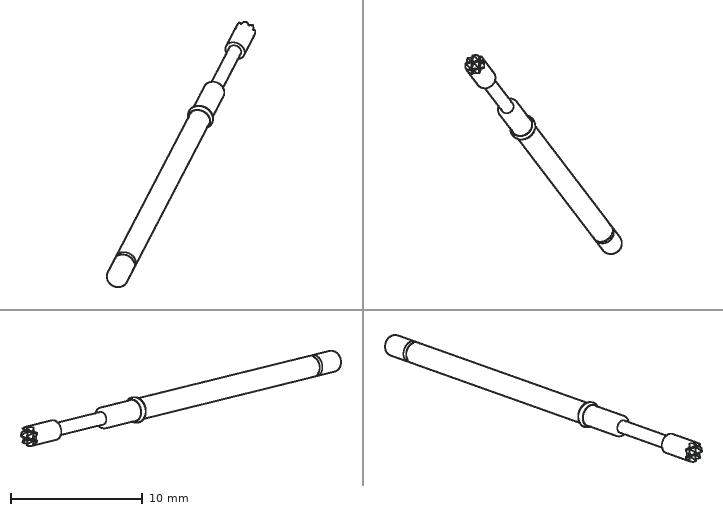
import cadquery as cq


total_length = 34.3
head_length = 3.02
shaft_length = 5.28
mouth_to_collar = 3.5
collar_width = 0.5
groove_position = 2.5
groove_width = 0.3

head_diameter = 1.55
shaft_diameter = 1.0
barrel_diameter = 1.65
collar_diameter = 2.0

tail_radius = 0.45
mouth_radius = 0.2
collar_crown = 0.15
groove_depth = 0.15
tooth_pitch = 0.62
tooth_depth = 0.4
valley_floor = 0.07

head_rear = total_length - head_length
barrel_mouth = head_rear - shaft_length
collar_front = barrel_mouth - mouth_to_collar


def rod(diameter, start, end):
    """Solid cylinder on the Y axis between two stations."""
    return cq.Workplane("XZ", origin=(0, start, 0)).circle(diameter / 2).extrude(start - end)


def make_barrel():
    """Tube body with a rounded tail and a rounded mouth."""
    body = rod(barrel_diameter, 0, barrel_mouth)
    return body.faces("<Y").edges().fillet(tail_radius).faces(">Y").edges().fillet(mouth_radius)


def make_collar():
    """Press ring around the barrel with a crowned outer surface."""
    rear = collar_front - collar_width
    rim_radius = collar_diameter / 2 - collar_crown
    return (
        cq.Workplane("XY")
        .moveTo(0, rear)
        .lineTo(rim_radius, rear)
        .threePointArc((collar_diameter / 2, rear + collar_width / 2), (rim_radius, collar_front))
        .lineTo(0, collar_front)
        .close()
        .revolve(360, (0, 0, 0), (0, 1, 0))
    )


def make_groove():
    """Revolved V-shaped crimp ring, to be cut from the barrel."""
    surface = barrel_diameter / 2
    return (
        cq.Workplane("XY")
        .moveTo(surface, groove_position - groove_width / 2)
        .lineTo(surface - groove_depth, groove_position)
        .lineTo(surface, groove_position + groove_width / 2)
        .close()
        .revolve(360, (0, 0, 0), (0, 1, 0))
    )


def make_valley_cutter():
    """Bar along Z, tapered to a narrow flat floor, that cuts one valley between rows of teeth."""
    half_length = head_diameter / 2
    return (
        cq.Workplane("XY", origin=(0, total_length, -half_length))
        .moveTo(-tooth_pitch / 2, 0)
        .lineTo(-valley_floor / 2, -tooth_depth)
        .lineTo(valley_floor / 2, -tooth_depth)
        .lineTo(tooth_pitch / 2, 0)
        .close()
        .extrude(head_diameter)
    )


def make_head():
    """Head whose end is cut into a grid of pyramid teeth, one on the axis."""
    valley_offsets = (-1.5, -0.5, 0.5, 1.5)
    head = rod(head_diameter, head_rear, total_length)
    for offset in valley_offsets:
        valley = make_valley_cutter().translate((offset * tooth_pitch, 0, 0))
        head = head.cut(valley)
        head = head.cut(valley.rotate((0, 0, 0), (0, 1, 0), 90))
    return head


shaft = rod(shaft_diameter, collar_front, head_rear)
barrel = make_barrel().union(make_collar()).cut(make_groove())
result = barrel.union(shaft).union(make_head())